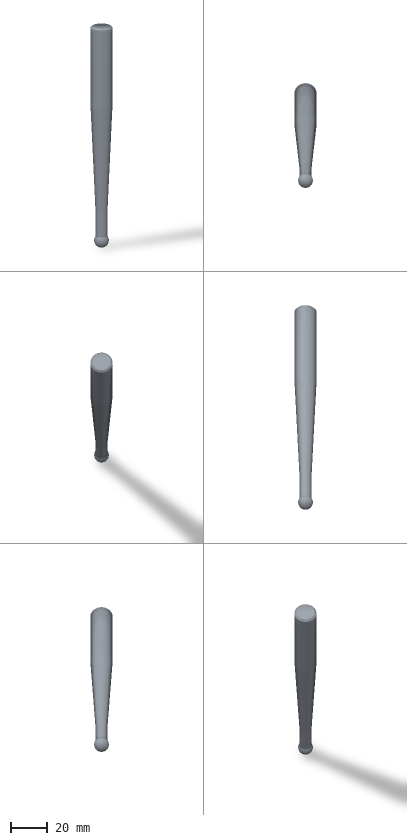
import cadquery as cq
import math

TOTAL_LENGTH = 125.0
SHANK_DIAMETER = 12.0
NECK_DIAMETER = 6.5
BALL_DIAMETER = 8.0
BALL_HEAD_LENGTH = 6.5
TAPER_START_Z = 20.0
TAPER_END_Z = 80.0
SHANK_CHAMFER = 1.0

shank_radius = SHANK_DIAMETER / 2
neck_radius = NECK_DIAMETER / 2
ball_radius = BALL_DIAMETER / 2

sphere_top_z = ball_radius + math.sqrt(ball_radius**2 - neck_radius**2)


def turn_about_z(half_profile):
    """Revolve a closed XZ half profile fully about the tool axis."""
    return half_profile.revolve(360, (0, 0, 0), (0, 1, 0))


def make_shank():
    """Neck, tapered body and cylindrical shank with a chamfered end."""
    half_profile = (
        cq.Workplane("XZ")
        .moveTo(0, BALL_HEAD_LENGTH)
        .lineTo(neck_radius, BALL_HEAD_LENGTH)
        .lineTo(neck_radius, TAPER_START_Z)
        .lineTo(shank_radius, TAPER_END_Z)
        .lineTo(shank_radius, TOTAL_LENGTH - SHANK_CHAMFER)
        .lineTo(shank_radius - SHANK_CHAMFER, TOTAL_LENGTH)
        .lineTo(0, TOTAL_LENGTH)
        .close()
    )
    return turn_about_z(half_profile)


def make_ball_head():
    """Spherical tip with a short collar whose flat top meets the neck."""
    half_profile = (
        cq.Workplane("XZ")
        .moveTo(0, 0)
        .threePointArc((ball_radius, ball_radius), (neck_radius, sphere_top_z))
        .lineTo(neck_radius, BALL_HEAD_LENGTH)
        .lineTo(0, BALL_HEAD_LENGTH)
        .close()
    )
    return turn_about_z(half_profile)


shank = make_shank()
ball_head = make_ball_head()

result = cq.Compound.makeCompound([shank.val(), ball_head.val()])